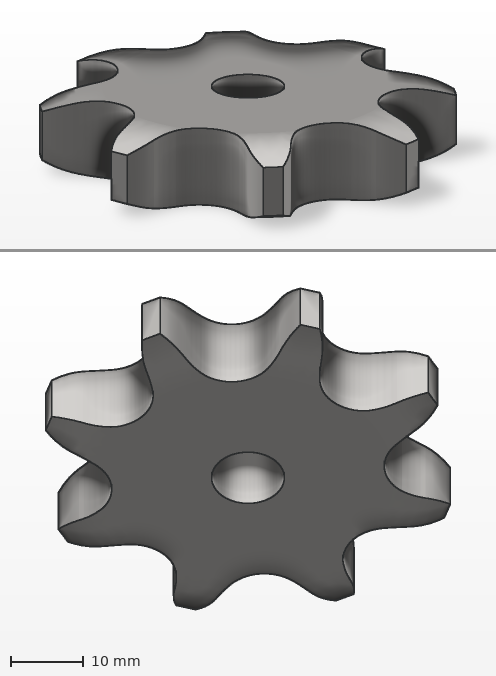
import cadquery as cq
import math

TOOTH_COUNT = 8
PITCH = 19.05
ROLLER_DIAMETER = 12.1
SEAT_RADIUS = 6.1
WIDTH = 11.1
BORE_DIAMETER = 10.0
OUTER_SIZE = 53.95
FLAT_FACE_RADIUS = 20.05
SIDE_ROUND_RADIUS = PITCH
BLANK_RADIUS = 29.15

HALF_TOOTH_ANGLE = 180 / TOOTH_COUNT
SEAT_ANGLE = 35 + 60 / TOOTH_COUNT
WORKING_ANGLE = 18 - 56 / TOOTH_COUNT
TOPPING_ANGLE = 17 - 64 / TOOTH_COUNT
WORKING_CENTER_DISTANCE = 0.8 * ROLLER_DIAMETER
TOPPING_CENTER_DISTANCE = 1.4 * ROLLER_DIAMETER
PITCH_RADIUS = PITCH / (2 * math.sin(math.radians(HALF_TOOTH_ANGLE)))


def step(point, distance, angle):
    """Point reached by moving a distance from point at an angle in degrees."""
    turn = math.radians(angle)
    return (point[0] + distance * math.cos(turn), point[1] + distance * math.sin(turn))


def gap_points():
    """Right side of the tooth gap centred on +Y, from the seat up to the tooth tip."""
    seat_center = (0, PITCH_RADIUS)
    working_center = step(seat_center, WORKING_CENTER_DISTANCE, 180 - SEAT_ANGLE)
    working_radius = WORKING_CENTER_DISTANCE + SEAT_RADIUS
    flank_normal = WORKING_ANGLE - SEAT_ANGLE

    seat_bottom = (0, PITCH_RADIUS - SEAT_RADIUS)
    seat_end = step(seat_center, SEAT_RADIUS, -SEAT_ANGLE)
    working_mid = step(working_center, working_radius, WORKING_ANGLE / 2 - SEAT_ANGLE)
    working_end = step(working_center, working_radius, flank_normal)

    straight_length = (
        TOPPING_CENTER_DISTANCE * math.sin(math.radians(TOPPING_ANGLE))
        - WORKING_CENTER_DISTANCE * math.sin(math.radians(WORKING_ANGLE))
    )
    straight_end = step(working_end, straight_length, flank_normal + 90)

    topping_center = step(seat_center, TOPPING_CENTER_DISTANCE, -HALF_TOOTH_ANGLE)
    topping_radius = math.dist(topping_center, straight_end)
    rise = OUTER_SIZE / 2 - topping_center[1]
    tip_angle = 180 - math.degrees(math.asin(rise / topping_radius))
    start_angle = 180 + flank_normal
    topping_mid = step(topping_center, topping_radius, (start_angle + tip_angle) / 2)
    tip = step(topping_center, topping_radius, tip_angle)
    return seat_bottom, seat_end, working_mid, working_end, straight_end, topping_mid, tip


def toothed_plate():
    """Full-width plate with the tooth outline and flat tooth tips."""
    right_side = gap_points()
    left_side = [(-x, y) for x, y in right_side]

    def turned(point, angle):
        direction = math.degrees(math.atan2(point[1], point[0]))
        return step((0, 0), math.hypot(*point), direction + angle)

    outline = cq.Workplane("XY").moveTo(*left_side[-1])
    for index in range(TOOTH_COUNT):
        angle = -index * 360 / TOOTH_COUNT
        left = [turned(point, angle) for point in left_side]
        right = [turned(point, angle) for point in right_side]
        _, left_seat, left_working, left_low, left_high, left_topping, left_tip = left
        bottom, right_seat, right_working, right_low, right_high, right_topping, right_tip = right
        if index > 0:
            outline = outline.lineTo(*left_tip)
        outline = (
            outline
            .threePointArc(left_topping, left_high)
            .lineTo(*left_low)
            .threePointArc(left_working, left_seat)
            .threePointArc(bottom, right_seat)
            .threePointArc(right_working, right_low)
            .lineTo(*right_high)
            .threePointArc(right_topping, right_tip)
        )
    return outline.close().extrude(WIDTH)


def rounded_blank():
    """Disc with a bore, its sides curving inward beyond the flat faces."""
    def round_drop(radius):
        reach = radius - FLAT_FACE_RADIUS
        return SIDE_ROUND_RADIUS - math.sqrt(SIDE_ROUND_RADIUS**2 - reach**2)

    mid_radius = (FLAT_FACE_RADIUS + BLANK_RADIUS) / 2
    mid_drop = round_drop(mid_radius)
    rim_drop = round_drop(BLANK_RADIUS)
    bore_radius = BORE_DIAMETER / 2
    return (
        cq.Workplane("XZ")
        .moveTo(bore_radius, 0)
        .lineTo(FLAT_FACE_RADIUS, 0)
        .threePointArc((mid_radius, mid_drop), (BLANK_RADIUS, rim_drop))
        .lineTo(BLANK_RADIUS, WIDTH - rim_drop)
        .threePointArc((mid_radius, WIDTH - mid_drop), (FLAT_FACE_RADIUS, WIDTH))
        .lineTo(bore_radius, WIDTH)
        .close()
        .revolve(360, (0, 0, 0), (0, 1, 0))
    )


result = toothed_plate().intersect(rounded_blank())